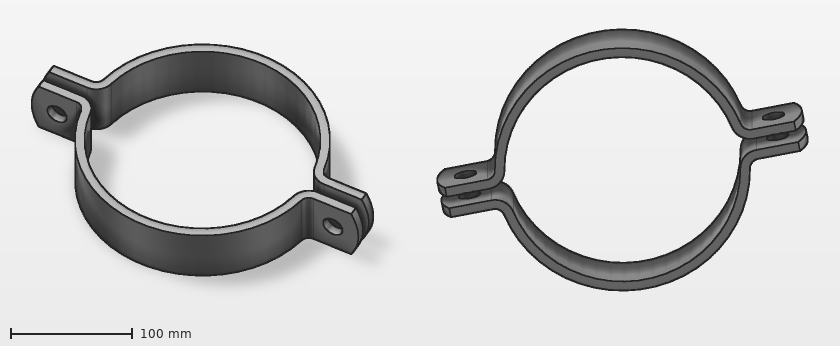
import cadquery as cq
import math

length = 306.0
width = 50.0
thickness = 8.0
gap = 10.0
band_radius = 105.0
bend_radius = 8.0
hole_diameter = 18.0
hole_spacing = 258.3
tip_radius = width

half_length = length / 2
inner_radius = band_radius - thickness
ear_inner_y = gap / 2
ear_outer_y = ear_inner_y + thickness
bend_y = ear_outer_y + bend_radius
bend_x = math.sqrt((band_radius + bend_radius) ** 2 - bend_y**2)
bend_outer_radius = bend_radius + thickness
joint_angle = math.atan2(bend_y, bend_x)
tip_setback = tip_radius - math.sqrt(tip_radius**2 - (width / 2) ** 2)


def band_point(radius, side):
    """Point on the band at the joint with the bend; side is -1 (left) or 1 (right)."""
    return side * radius * math.cos(joint_angle), radius * math.sin(joint_angle)


def bend_middle(radius, side):
    """Middle of a bend arc, which runs from the joint direction to -Y around the bend centre."""
    angle = (joint_angle + math.pi / 2) / 2
    return side * (bend_x - radius * math.cos(angle)), bend_y - radius * math.sin(angle)


def strip():
    """Bent strip with square ear ends, on the +Y side."""
    left, right = -1, 1
    return (
        cq.Workplane("XY")
        .workplane(offset=-width / 2)
        .moveTo(-half_length, ear_outer_y)
        .lineTo(-bend_x, ear_outer_y)
        .threePointArc(bend_middle(bend_radius, left), band_point(band_radius, left))
        .threePointArc((0, band_radius), band_point(band_radius, right))
        .threePointArc(bend_middle(bend_radius, right), (bend_x, ear_outer_y))
        .lineTo(half_length, ear_outer_y)
        .lineTo(half_length, ear_inner_y)
        .lineTo(bend_x, ear_inner_y)
        .threePointArc(bend_middle(bend_outer_radius, right), band_point(inner_radius, right))
        .threePointArc((0, inner_radius), band_point(inner_radius, left))
        .threePointArc(bend_middle(bend_outer_radius, left), (-bend_x, ear_inner_y))
        .lineTo(-half_length, ear_inner_y)
        .close()
        .extrude(width)
    )


def tip_envelope():
    """Block with rounded ends that shapes the ear tips."""
    corner_x = half_length - tip_setback
    return (
        cq.Workplane("XZ")
        .moveTo(-corner_x, -width / 2)
        .lineTo(corner_x, -width / 2)
        .threePointArc((half_length, 0), (corner_x, width / 2))
        .lineTo(-corner_x, width / 2)
        .threePointArc((-half_length, 0), (-corner_x, -width / 2))
        .close()
        .extrude(band_radius, both=True)
    )


def bolt_holes():
    """Cutters for one bolt hole through each ear, along Y."""
    return (
        cq.Workplane("XZ")
        .pushPoints([(-hole_spacing / 2, 0), (hole_spacing / 2, 0)])
        .circle(hole_diameter / 2)
        .extrude(ear_outer_y, both=True)
    )


def clamp_half(turn):
    """One clamp half, turned about Z by the given angle in degrees."""
    half = strip().intersect(tip_envelope()).cut(bolt_holes())
    return half.rotate((0, 0, 0), (0, 0, 1), turn)


clamp_halves = [clamp_half(turn) for turn in (0, 180)]

result = cq.Compound.makeCompound([half.solids().val() for half in clamp_halves])